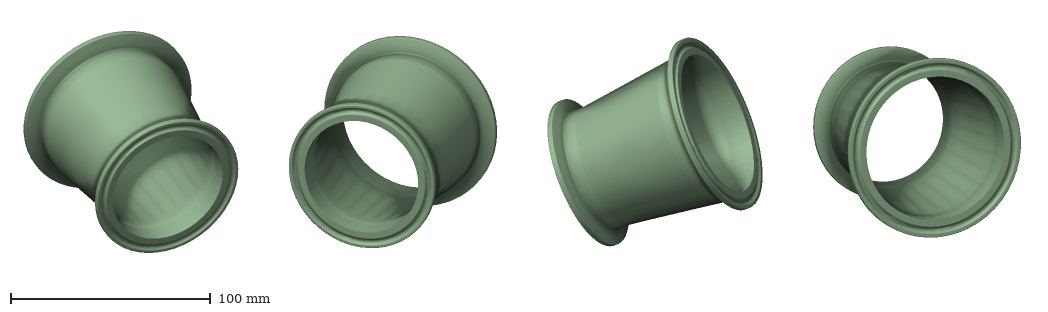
import cadquery as cq
import math

LENGTH = 76.2
WALL = 1.6
NECK_END = 12.7

LARGE_TUBE_R = 76.2 / 2
LARGE_FLANGE_R = 90.9 / 2
SMALL_TUBE_R = 63.5 / 2
SMALL_FLANGE_R = 77.4 / 2

RIM_WIDTH = 2.8
CLAMP_ANGLE = 20
RIM_FILLET = 0.5
NECK_FILLET = 1.0

GROOVE_OFFSET = 3.55
GROOVE_HALF_WIDTH = 1.5
GROOVE_DEPTH = 1.4
GROOVE_EDGE_FILLET = 0.7

AXIS_START = (0, 0, 0)
AXIS_END = (1, 0, 0)


def revolve(profile):
    """Spin a closed XY profile a full turn about the X axis."""
    return profile.revolve(360, AXIS_START, AXIS_END)


def rim_edge(x, radius):
    """Select the circular edge with the given axial position and radius."""
    tolerance = 0.01
    low = (x - tolerance, -radius - tolerance, -radius - tolerance)
    high = (x + tolerance, radius + tolerance, radius + tolerance)
    inner = radius - tolerance
    in_plane = cq.selectors.BoxSelector(low, high, boundingbox=True)
    smaller = cq.selectors.BoxSelector(
        (low[0], -inner, -inner), (high[0], inner, inner), boundingbox=True
    )
    return in_plane - smaller


def ferrule(tube_r, flange_r):
    """Solid ferrule and neck, with its grooved sealing face at X = 0."""
    slope_end = RIM_WIDTH + (flange_r - tube_r) * math.tan(math.radians(CLAMP_ANGLE))
    body = revolve(
        cq.Workplane("XY").polyline([
            (0, 0),
            (0, flange_r),
            (RIM_WIDTH, flange_r),
            (slope_end, tube_r),
            (NECK_END, tube_r),
            (NECK_END, 0),
        ]).close()
    )

    groove_r = tube_r + GROOVE_OFFSET
    groove_inner_r = groove_r - GROOVE_HALF_WIDTH
    groove_outer_r = groove_r + GROOVE_HALF_WIDTH
    groove = revolve(
        cq.Workplane("XY")
        .moveTo(0, groove_inner_r)
        .threePointArc((GROOVE_DEPTH, groove_r), (0, groove_outer_r))
        .close()
    )
    body = body.cut(groove)

    body = body.edges(rim_edge(slope_end, tube_r)).fillet(NECK_FILLET)
    for rim_x in (0, RIM_WIDTH):
        body = body.edges(rim_edge(rim_x, flange_r)).fillet(RIM_FILLET)
    for edge_r in (groove_inner_r, groove_outer_r):
        body = body.edges(rim_edge(0, edge_r)).fillet(GROOVE_EDGE_FILLET)
    return body


large_ferrule = ferrule(LARGE_TUBE_R, LARGE_FLANGE_R)
small_ferrule = (
    ferrule(SMALL_TUBE_R, SMALL_FLANGE_R).mirror("YZ").translate((LENGTH, 0, 0))
)

taper = revolve(
    cq.Workplane("XY").polyline([
        (NECK_END, 0),
        (NECK_END, LARGE_TUBE_R),
        (LENGTH - NECK_END, SMALL_TUBE_R),
        (LENGTH - NECK_END, 0),
    ]).close()
)

bore = revolve(
    cq.Workplane("XY").polyline([
        (0, 0),
        (0, LARGE_TUBE_R - WALL),
        (NECK_END, LARGE_TUBE_R - WALL),
        (LENGTH - NECK_END, SMALL_TUBE_R - WALL),
        (LENGTH, SMALL_TUBE_R - WALL),
        (LENGTH, 0),
    ]).close()
)

result = large_ferrule.union(taper).union(small_ferrule).cut(bore)